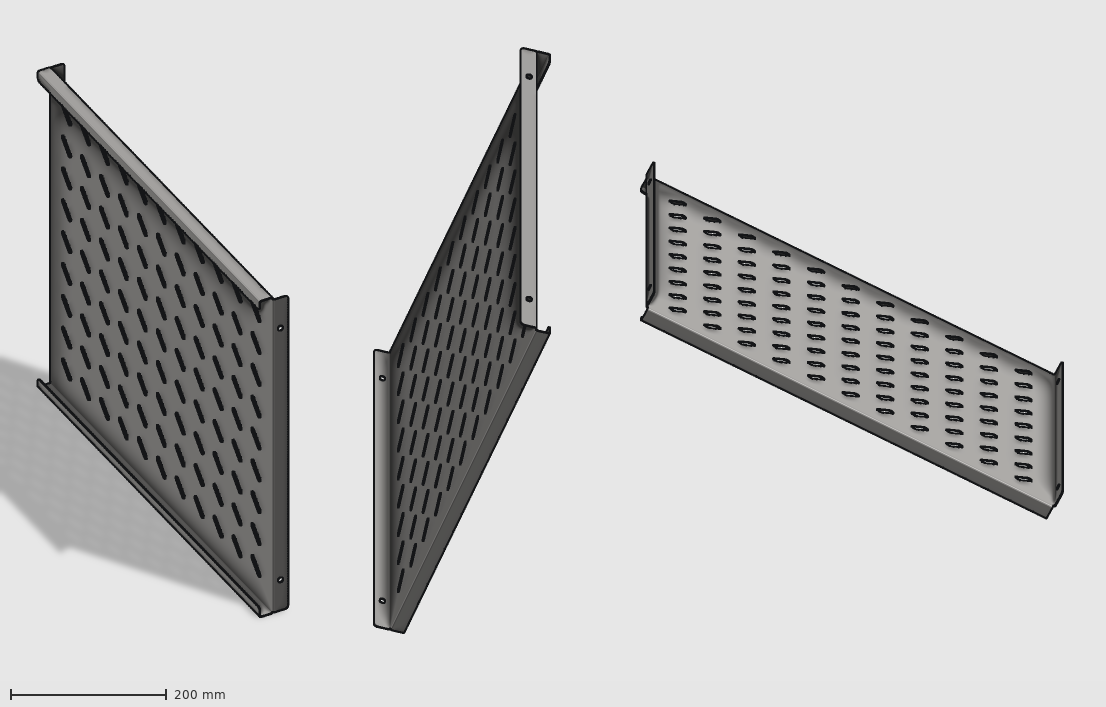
import cadquery as cq

overall_width = 592.0
overall_depth = 41.0
overall_height = 497.0

sheet = 1.5
bend_inner_radius = 1.5
bend_outer_radius = bend_inner_radius + sheet

hook_length = overall_width - 2 * bend_outer_radius
side_flange_height = overall_height - 2 * bend_outer_radius

hook_depth = 20.0
side_flange_depth = overall_depth - hook_depth + sheet
lip_height = 15.0
corner_radius = 5.0

hook_front = sheet - hook_depth

slot_columns = 11
slot_rows = 9
slot_pitch = 50.0
slot_width = 8.5
slot_center_distance = 22.0
slot_length = slot_center_distance + slot_width
slot_angle = -45.0

mount_hole_diameter = 7.5
mount_hole_spacing = 395.0
mount_hole_from_back = 11.5


def block(width, y_front, y_back, height):
    """Box centred on X and Z, between two Y positions."""
    depth = y_back - y_front
    return cq.Workplane("XY").box(width, depth, height).translate((0, (y_front + y_back) / 2, 0))


def hooked_panel():
    """Panel with a hook (flange and return lip) along its top and bottom edges."""
    outer = block(hook_length, hook_front, sheet, overall_height)
    outer = outer.edges("|X").fillet(bend_outer_radius)
    inner = block(hook_length, hook_front + sheet, 0, overall_height - 2 * sheet)
    inner = inner.edges("|X").fillet(bend_inner_radius)
    opening = block(hook_length, hook_front, hook_front + sheet, overall_height - 2 * lip_height)
    panel = outer.cut(inner).cut(opening)

    around_opening = cq.selectors.BoxSelector(
        (-overall_width, hook_front - sheet, -overall_height / 2 + lip_height - sheet),
        (overall_width, hook_front + sheet, overall_height / 2 - lip_height + sheet),
    )
    return panel.edges("|Y").edges(around_opening).fillet(corner_radius)


def flanged_panel():
    """Panel with a flange bent back along its left and right edges."""
    outer = block(overall_width, 0, side_flange_depth, side_flange_height)
    outer = outer.edges("<Y and |Z").fillet(bend_outer_radius)
    inner = block(overall_width - 2 * sheet, sheet, side_flange_depth, side_flange_height)
    inner = inner.edges("<Y and |Z").fillet(bend_inner_radius)
    panel = outer.cut(inner)

    return panel.edges("|X and >Y").fillet(corner_radius)


def slots():
    """Grid of diagonal slots through the panel."""
    return (
        cq.Workplane("XZ", origin=(0, sheet, 0))
        .rarray(slot_pitch, slot_pitch, slot_columns, slot_rows)
        .slot2D(slot_length, slot_width, slot_angle)
        .extrude(sheet)
    )


def mount_holes():
    """Two holes through each side flange, near its ends."""
    return (
        cq.Workplane("YZ", origin=(0, side_flange_depth - mount_hole_from_back, 0))
        .pushPoints([(0, -mount_hole_spacing / 2), (0, mount_hole_spacing / 2)])
        .circle(mount_hole_diameter / 2)
        .extrude(overall_width / 2, both=True)
    )


result = hooked_panel().union(flanged_panel()).cut(slots()).cut(mount_holes())